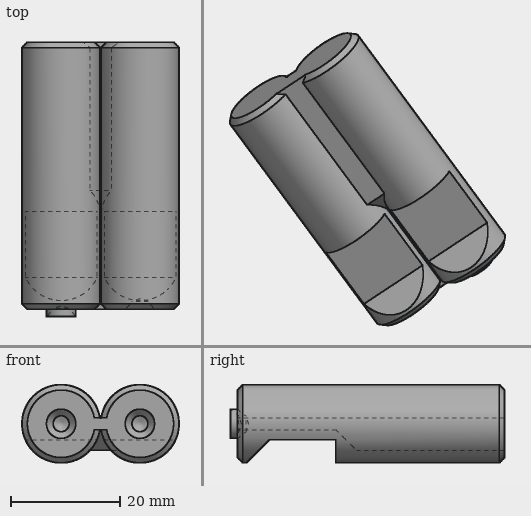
import cadquery as cq

total_length = 50.25
cell_diameter = 14.35
cell_spacing = 14.4
end_chamfer = 1.0

nub_diameter = 5.4
nub_height = 1.3

dimple_mouth_diameter = 5.4
dimple_tip_diameter = 2.9
dimple_taper_depth = 1.5
dimple_tip_depth = 0.5

web_width = 6.05
web_thickness = 2.1

relief_ceiling = -2.95
relief_front = 5.9
relief_back = 18.0
relief_clearance = 0.5

rib_bottom = -4.85

body_length = total_length - nub_height
cell_radius = cell_diameter / 2
right_x = cell_spacing / 2
left_x = -right_x
web_underside = -web_thickness / 2


def make_cell(x):
    """Cylinder along Y with both ends chamfered."""
    return (
        cq.Workplane("XZ", origin=(x, body_length, 0))
        .circle(cell_radius)
        .extrude(body_length)
        .faces("<Y or >Y")
        .chamfer(end_chamfer)
    )


def make_dimple(x, front_y):
    """Solid of revolution to remove from a front face at front_y."""
    profile = [
        (0, 0),
        (dimple_mouth_diameter / 2, 0),
        (dimple_tip_diameter / 2, dimple_taper_depth),
        (0, dimple_taper_depth + dimple_tip_depth),
    ]
    return (
        cq.Workplane("XY", origin=(x, front_y, 0))
        .polyline(profile)
        .close()
        .revolve(360, (0, 0, 0), (0, 1, 0))
    )


def make_web():
    return cq.Workplane("XY").box(web_width, body_length, web_thickness, centered=(True, False, True))


def make_rib():
    """Fill in the valley under the web, behind the relief, with a 45 degree front slope."""
    rib_depth = web_underside - rib_bottom
    profile = [
        (relief_back, web_underside),
        (relief_back + rib_depth, rib_bottom),
        (body_length, rib_bottom),
        (body_length, web_underside),
    ]
    return cq.Workplane("YZ").polyline(profile).close().extrude(web_width / 2, both=True)


def make_relief():
    bottom = -cell_radius - relief_clearance
    ramp_length = relief_ceiling - bottom
    profile = [
        (relief_front, relief_ceiling),
        (relief_back, relief_ceiling),
        (relief_back, bottom),
        (relief_front - ramp_length, bottom),
    ]
    return cq.Workplane("YZ").polyline(profile).close().extrude(cell_spacing, both=True)


def make_nub():
    return cq.Workplane("XZ", origin=(left_x, 0, 0)).circle(nub_diameter / 2).extrude(nub_height)


result = make_cell(left_x).union(make_cell(right_x))
result = result.union(make_web()).union(make_rib())
result = result.cut(make_relief())
result = result.union(make_nub())
result = result.cut(make_dimple(left_x, -nub_height)).cut(make_dimple(right_x, 0))